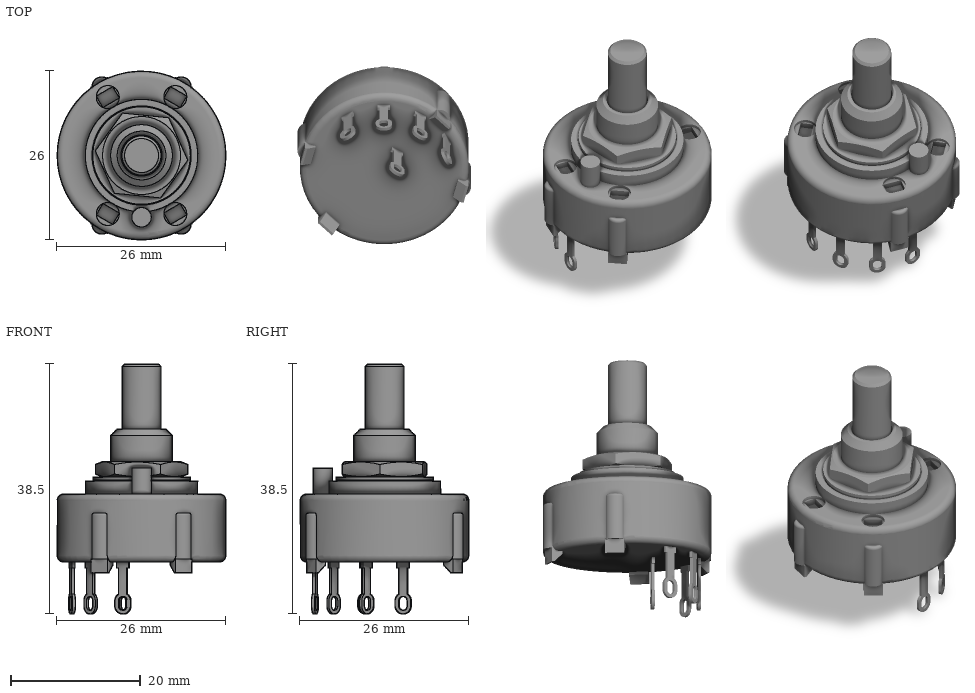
import cadquery as cq


body_diameter = 26.0
body_height = 10.47
body_edge_radius = 1.0

boss_diameter = 17.32
boss_top = 12.47
seat_diameter = 15.3
seat_depth = 0.5
washer_diameter = 15.0
washer_bottom = 12.63
washer_top = 13.1
neck_diameter = 14.7

nut_corner_diameter = 14.32
nut_face_diameter = 12.0
nut_top = 15.48
nut_chamfer_height = 0.45
nut_sides = 6
nut_turn = -5.8

bushing_diameter = 9.5
bushing_bore = 6.35
bushing_top = 20.5
bushing_chamfer = 1.0
bore_depth = 1.92
shaft_diameter = 6.0
shaft_top = 30.5
shaft_chamfer = 0.4

pin_diameter = 3.0
pin_radius = 9.5
pin_top = 14.48

latch_angles = (60, 120, 240, 300)
pillar_diameter = 3.08
pillar_center_radius = 12.2
pillar_bottom = 0.45
pillar_top = 7.6
pillar_edge_radius = 0.42
leg_bottom = -1.65
leg_outer_radius = body_diameter / 2
leg_tip_thickness = 0.4
leg_width = 2.93
hook_radius = 11.3
hook_bottom = -0.45
access_radius = 10.4
access_diameter = 3.55
access_depth = 0.5
pocket_length = 2.05
pocket_width = 2.93
pocket_depth = 1.5

rim_terminal_radius = 11.1
rim_terminal_angles = (165, 195, 225, 255)
common_terminal_radius = 3.93
common_terminal_angle = 225
terminal_thickness = 0.45
terminal_bottom = -8.0
shoulder_width = 1.95
shoulder_bottom = -0.92
stem_width = 1.35
eye_width = 2.5
eye_height = 3.27
eye_slot_width = 1.35
eye_slot_height = 2.1
terminal_embedding = 0.4


def disc(diameter, bottom, top):
    return cq.Workplane("XY").workplane(offset=bottom).circle(diameter / 2).extrude(top - bottom)


def at_polar(shape, radius, angle):
    """Move a shape built at the origin out along +X, then turn it about the Z axis."""
    return shape.translate((radius, 0, 0)).rotate((0, 0, 0), (0, 0, 1), angle)


def make_housing():
    body = disc(body_diameter, 0, body_height).edges().fillet(body_edge_radius)
    boss = disc(boss_diameter, body_height - body_edge_radius, boss_top)
    seat = disc(seat_diameter, boss_top - seat_depth, boss_top)
    return body.union(boss).cut(seat)


def make_washer():
    neck = disc(neck_diameter, boss_top - seat_depth, washer_bottom)
    return neck.union(disc(washer_diameter, washer_bottom, washer_top))


def make_nut():
    height = nut_top - washer_top
    hexagon = (
        cq.Workplane("XY").workplane(offset=washer_top)
        .polygon(nut_sides, nut_corner_diameter).extrude(height)
        .rotate((0, 0, 0), (0, 0, 1), nut_turn)
    )
    face_radius = nut_face_diameter / 2
    corner_radius = nut_corner_diameter / 2
    double_cone = (
        cq.Workplane("XZ")
        .moveTo(0, washer_top)
        .lineTo(face_radius, washer_top)
        .lineTo(corner_radius, washer_top + nut_chamfer_height)
        .lineTo(corner_radius, nut_top - nut_chamfer_height)
        .lineTo(face_radius, nut_top)
        .lineTo(0, nut_top)
        .close()
        .revolve(360, (0, 0, 0), (0, 1, 0))
    )
    return hexagon.intersect(double_cone)


def make_bushing():
    bushing = disc(bushing_diameter, boss_top - seat_depth, bushing_top)
    bushing = bushing.faces(">Z").edges().chamfer(bushing_chamfer)
    return bushing.cut(disc(bushing_bore, bushing_top - bore_depth, bushing_top))


def make_shaft():
    shaft = disc(shaft_diameter, bushing_top - bore_depth, shaft_top)
    return shaft.faces(">Z").edges().chamfer(shaft_chamfer)


def make_latch():
    """Pillar and hooked leg of one latch, lying on the +X side."""
    pillar = disc(pillar_diameter, pillar_bottom, pillar_top)
    pillar = pillar.faces(">Z").edges().fillet(pillar_edge_radius)
    leg = (
        cq.Workplane("XZ")
        .moveTo(leg_outer_radius, pillar_bottom)
        .lineTo(leg_outer_radius, leg_bottom)
        .lineTo(leg_outer_radius - leg_tip_thickness, leg_bottom)
        .lineTo(hook_radius, hook_bottom)
        .lineTo(hook_radius, pillar_bottom)
        .close()
        .extrude(leg_width / 2, both=True)
    )
    return pillar.translate((pillar_center_radius, 0, 0)).union(leg)


def make_access_hole():
    """Round recess with a rectangular pocket in its floor, trimmed to the recess."""
    recess = disc(access_diameter, body_height - access_depth, body_height)
    pocket_bottom = body_height - pocket_depth
    pocket = (
        cq.Workplane("XY").workplane(offset=pocket_bottom)
        .rect(pocket_length, pocket_width).extrude(pocket_depth)
        .intersect(disc(access_diameter, pocket_bottom, body_height))
    )
    return recess.union(pocket)


def make_terminal():
    """Flat blade facing along X, with a slotted eye at its lower end."""
    blade = cq.Workplane("YZ")
    eye_center = terminal_bottom + eye_height / 2
    stem_height = terminal_embedding - eye_center
    shoulder_height = terminal_embedding - shoulder_bottom
    half = terminal_thickness / 2
    stem = (
        blade.center(0, eye_center + stem_height / 2)
        .rect(stem_width, stem_height).extrude(half, both=True)
    )
    shoulder = (
        blade.center(0, shoulder_bottom + shoulder_height / 2)
        .rect(shoulder_width, shoulder_height).extrude(half, both=True)
    )
    eye = blade.center(0, eye_center).slot2D(eye_height, eye_width, 90).extrude(half, both=True)
    slot = (
        blade.center(0, eye_center)
        .slot2D(eye_slot_height, eye_slot_width, 90).extrude(half, both=True)
    )
    return stem.union(shoulder).union(eye).cut(slot)


result = make_housing()
result = result.union(make_washer())
result = result.union(make_nut()).union(make_bushing()).union(make_shaft())

pin = disc(pin_diameter, body_height - body_edge_radius, pin_top)
result = result.union(pin.translate((0, -pin_radius, 0)))

for latch_angle in latch_angles:
    result = result.union(make_latch().rotate((0, 0, 0), (0, 0, 1), latch_angle))
    result = result.cut(at_polar(make_access_hole(), access_radius, latch_angle))

for terminal_angle in rim_terminal_angles:
    result = result.union(at_polar(make_terminal(), rim_terminal_radius, terminal_angle))
result = result.union(at_polar(make_terminal(), common_terminal_radius, common_terminal_angle))